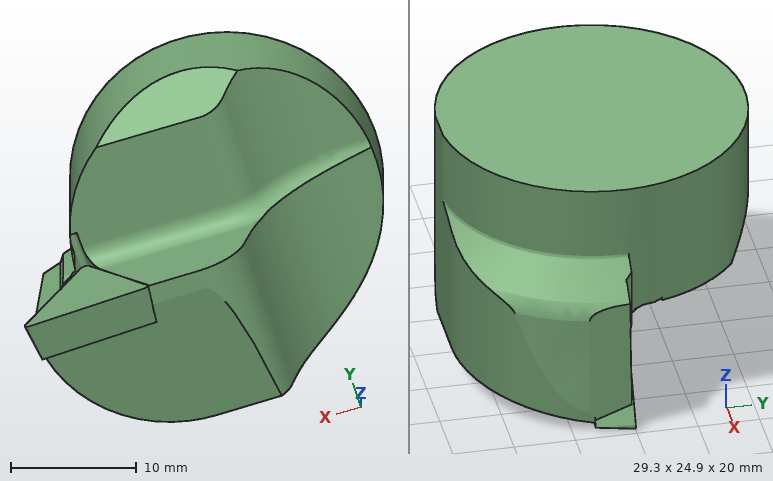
import cadquery as cq
import math

reach = 20.0
tolerance = 0.01

head_radius = 12.5
flat_half_width = 1.46
flat_y = -math.sqrt(head_radius**2 - flat_half_width**2)
blank_depth = 22.0

flare_top_z = -6.2
flare_corner_z = -9.35
flare_angle = 45.7
flank_lean = 4.2
flare_root_fillet = 0.35
flare_edge_fillet = 2.1
collar_arc_radius = 11.55
collar_arc_x = 4.77
collar_arc_y = flat_y + collar_arc_radius
side_flat_x = 15.41
side_flat_z = -10.09

hollow_radius = 12.0
hollow_x = -13.64
hollow_z = -17.5
hollow_lean = 15.0
hollow_straight = 2.0
heel_radius = 4.0
bottom_tilt = 1.0
bottom_relief = 7.0
relief_start_y = -1.3

wall_y = 0.3
pocket_radius = 12.0
pocket_x = -12.5
pocket_z = -17.35
pocket_floor_z = -11.05
pocket_lip_radius = 2.8
pocket_root_fillet = 1.65
bevel_start_z = -7.15
bevel_end_y = 9.73

collar_face_y = 0.4
setback_x = 13.5
setback_y = -0.1
setback_ramp = 0.4

insert_edge = 11.0
insert_corner_radius = 0.4
insert_thickness = 3.18
insert_clearance = 7.0
insert_yaw = 1.75
insert_inradius = insert_edge / (2 * math.sqrt(3))
insert_x = 11.69
insert_face_y = 0.21
insert_edge_z = -19.92
seat_mouth = 3.0


def tan_deg(angle):
    return math.tan(math.radians(angle))


def at_height(z):
    """Filter that keeps the edges centred at a given height."""
    return lambda edge: abs(edge.Center().z - z) < tolerance


def on_circle(center, radius, angle):
    """Point on a circle, with the angle in degrees from the first axis."""
    turn = math.radians(angle)
    return center[0] + radius * math.cos(turn), center[1] + radius * math.sin(turn)


def along_y(profile, y_from, y_to):
    """Extrude a closed XZ profile between two Y positions."""
    return profile.extrude(y_from - y_to).translate((0, y_from, 0))


def make_collar():
    """Flare turned about the head axis, trimmed to the plan outline of the insert seat."""
    corner_radius = head_radius + (flare_top_z - flare_corner_z) * tan_deg(flare_angle)
    foot_radius = corner_radius + (flare_corner_z + blank_depth) * tan_deg(flank_lean)
    flare = (
        cq.Workplane("XZ")
        .moveTo(0, 0)
        .lineTo(head_radius, 0)
        .lineTo(head_radius, flare_top_z)
        .lineTo(corner_radius, flare_corner_z)
        .lineTo(foot_radius, -blank_depth)
        .lineTo(0, -blank_depth)
        .close()
        .revolve(360, (0, 0, 0), (0, 1, 0))
    )
    root = flare.edges("%CIRCLE").filter(at_height(flare_top_z))
    flare = root.fillet(flare_root_fillet)
    crest = flare.edges("%CIRCLE").filter(at_height(flare_corner_z))
    flare = crest.fillet(flare_edge_fillet)

    arc_center = (collar_arc_x, collar_arc_y)
    arc_end_x = collar_arc_x + math.sqrt(collar_arc_radius**2 - (collar_face_y - collar_arc_y) ** 2)
    outline = (
        cq.Workplane("XY")
        .moveTo(0, collar_face_y)
        .lineTo(0, flat_y)
        .lineTo(collar_arc_x, flat_y)
        .threePointArc(on_circle(arc_center, collar_arc_radius, -45), (arc_end_x, collar_face_y))
        .close()
        .extrude(-blank_depth)
    )
    collar = flare.intersect(outline)

    lean = tan_deg(flank_lean)
    side_flat = (
        cq.Workplane("XZ")
        .moveTo(side_flat_x + side_flat_z * lean, 0)
        .lineTo(side_flat_x + (side_flat_z + blank_depth) * lean, -blank_depth)
        .lineTo(reach, -blank_depth)
        .lineTo(reach, 0)
        .close()
    )
    return collar.cut(along_y(side_flat, -reach, reach))


def make_hollow():
    """Material removed under the -X side and below the underside."""
    center = (hollow_x, hollow_z)
    lean = math.radians(hollow_lean)
    straight_start = on_circle(center, hollow_radius, hollow_lean)
    straight_end = (
        straight_start[0] + hollow_straight * math.sin(lean),
        straight_start[1] - hollow_straight * math.cos(lean),
    )
    heel_center = on_circle(straight_end, heel_radius, hollow_lean)
    heel_end_angle = 270 - bottom_tilt
    heel_middle_angle = (180 + hollow_lean + heel_end_angle) / 2
    heel_end = on_circle(heel_center, heel_radius, heel_end_angle)
    bottom_end_z = heel_end[1] - (reach - heel_end[0]) * tan_deg(bottom_tilt)
    profile = (
        cq.Workplane("XZ")
        .moveTo(hollow_x, hollow_z + hollow_radius)
        .threePointArc(on_circle(center, hollow_radius, (90 + hollow_lean) / 2), straight_start)
        .lineTo(*straight_end)
        .threePointArc(on_circle(heel_center, heel_radius, heel_middle_angle), heel_end)
        .lineTo(reach, bottom_end_z)
        .lineTo(reach, -2 * reach)
        .lineTo(hollow_x, -2 * reach)
        .close()
    )
    hollow = along_y(profile, -reach, reach)

    relief_run = relief_start_y + reach
    relief = (
        cq.Workplane("YZ")
        .moveTo(relief_start_y, 0)
        .lineTo(-reach, relief_run * tan_deg(bottom_relief))
        .lineTo(-reach, -reach)
        .lineTo(relief_start_y, -reach)
        .close()
        .extrude(reach, both=True)
        .rotate((0, 0, 0), (0, 1, 0), bottom_tilt)
        .translate((heel_end[0], 0, heel_end[1]))
    )
    return hollow.union(relief)


def make_chip_pocket():
    """Material removed on the +Y side of the insert wall, with a rounded root."""
    lip_z = pocket_floor_z + pocket_lip_radius
    center_gap = pocket_radius + pocket_lip_radius
    lip_angle = math.degrees(math.asin((lip_z - pocket_z) / center_gap))
    pocket_center = (pocket_x, pocket_z)
    lip_center = on_circle(pocket_center, center_gap, lip_angle)
    lip_start = on_circle(pocket_center, pocket_radius, lip_angle)
    lip_middle = on_circle(lip_center, pocket_lip_radius, (180 + lip_angle + 270) / 2)
    profile = (
        cq.Workplane("XZ")
        .moveTo(-reach, pocket_z + pocket_radius)
        .lineTo(pocket_x, pocket_z + pocket_radius)
        .threePointArc(on_circle(pocket_center, pocket_radius, (90 + lip_angle) / 2), lip_start)
        .threePointArc(lip_middle, (lip_center[0], pocket_floor_z))
        .lineTo(reach, pocket_floor_z)
        .lineTo(reach, -2 * reach)
        .lineTo(-reach, -2 * reach)
        .close()
    )
    pocket = along_y(profile, wall_y, reach)
    root = pocket.faces("<Y").edges().filter(
        lambda edge: edge.Center().z > pocket_floor_z - tolerance and abs(edge.Center().x) < reach - tolerance
    )
    return root.fillet(pocket_root_fillet)


def make_bevel():
    """Sloping cut across the lower +Y side of the head."""
    slope = (head_radius - bevel_end_y) / (bevel_start_z - pocket_floor_z)
    return (
        cq.Workplane("YZ")
        .moveTo(head_radius, bevel_start_z)
        .lineTo(head_radius - reach * slope, bevel_start_z - reach)
        .lineTo(reach, bevel_start_z - reach)
        .lineTo(reach, bevel_start_z)
        .close()
        .extrude(reach, both=True)
    )


def make_setback():
    """Shallow step that lowers the wall beside the cutting corner."""
    return (
        cq.Workplane("XY")
        .moveTo(setback_x, collar_face_y)
        .lineTo(setback_x + setback_ramp, setback_y)
        .lineTo(reach, setback_y)
        .lineTo(reach, reach)
        .lineTo(setback_x, reach)
        .close()
        .extrude(-blank_depth)
    )


def insert_prism(depth, taper):
    """Rounded triangle seated at the insert face; positive depth runs towards -Y."""
    corner_distance = 2 * insert_inradius
    corners = [on_circle((0, 0), corner_distance, angle) for angle in (90, 210, 330)]
    sketch = cq.Sketch().polygon(corners + corners[:1]).vertices().fillet(insert_corner_radius)
    prism = cq.Workplane("XZ").placeSketch(sketch).extrude(depth, taper=taper)
    return (
        prism.rotate((0, 0, 0), (0, 1, 0), bottom_tilt)
        .rotate((0, 0, 0), (0, 0, 1), -insert_yaw)
        .translate((insert_x, insert_face_y, insert_edge_z + insert_inradius))
    )


def make_insert():
    """Triangular cutting insert, tapering behind its face."""
    return insert_prism(insert_thickness, insert_clearance)


def make_housing():
    """Tool head with its collar, pockets and insert seat."""
    head = cq.Workplane("XY").circle(head_radius).extrude(-blank_depth)
    flat_cut = cq.Workplane("XY").box(2 * reach, reach, 3 * reach).translate((0, flat_y - reach / 2, 0))
    body = head.union(make_collar()).cut(flat_cut)
    body = body.cut(make_hollow()).cut(make_chip_pocket()).cut(make_bevel()).cut(make_setback())
    insert_seat = make_insert()
    seat_opening = insert_prism(-seat_mouth, 0)
    return body.cut(insert_seat).cut(seat_opening)


housing = make_housing()
insert = make_insert()

result = cq.Compound.makeCompound([housing.val(), insert.val()])